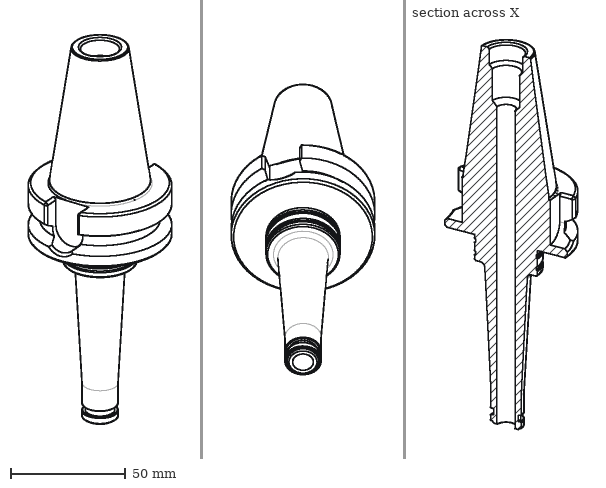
import cadquery as cq

total_height = 181.4
gauge_height = 116.1
flange_top = 115.0
flange_bottom = 88.9
shoulder_bottom = 76.4
nose_taper_bottom = 17.5

gauge_diameter = 44.5
taper_ratio = 7 / 24
shank_top_diameter = gauge_diameter - taper_ratio * (total_height - gauge_height)
shank_top_chamfer = 0.5
neck_diameter = 43.9
neck_fillet = 0.82

flange_diameter = 63.0
flange_chamfer = 1.0
grip_diameter = 53.0
grip_upper_edge = 104.7
grip_upper_floor = 102.0
grip_lower_floor = 97.5
grip_lower_edge = 94.7

slot_width = 16.0
slot_floor_distance = 22.7
slot_bottom = 93.5
slot_chamfer = 1.3
selection_margin = 0.2

shoulder_diameter = 32.5
shoulder_chamfer = 0.7
ring_groove_centers = (80.2, 86.2)
ring_groove_width = 2.2
ring_groove_depth = 0.5

nose_top_diameter = 22.1
nose_fillet = 2.0
nose_end_diameter = 16.0

clip_diameter = 13.0
clip_top = 7.0
clip_bottom = 4.2
rim_chamfer = 0.4
tip_diameter = 13.8
tip_height = 0.9
tip_chamfer = 0.7

thread_relief_diameter = 17.0
thread_relief_depth = 8.3
mouth_chamfer = 0.9
thread_diameter = 13.8
thread_depth = 25.4
through_diameter = 9


def ring_groove_points(center):
    """Section of a ring groove with 45 degree flanks, listed upward."""
    outer = shoulder_diameter / 2
    inner = outer - ring_groove_depth
    half = ring_groove_width / 2
    floor_half = half - ring_groove_depth
    return [
        (outer, center - half),
        (inner, center - floor_half),
        (inner, center + floor_half),
        (outer, center + half),
    ]


def turned_body():
    """Solid of revolution, drawn as a half section from the tip upward."""
    tip = tip_diameter / 2
    nose_end = nose_end_diameter / 2
    clip = clip_diameter / 2
    nose_top = nose_top_diameter / 2
    shoulder = shoulder_diameter / 2
    flange = flange_diameter / 2
    neck = neck_diameter / 2
    shank_top = shank_top_diameter / 2
    fillet_height = shoulder_bottom - nose_fillet

    section = (
        cq.Workplane("XZ")
        .lineTo(tip - tip_chamfer, 0)
        .lineTo(tip, tip_chamfer)
        .lineTo(tip, tip_height)
        .lineTo(nose_end - rim_chamfer, tip_height)
        .lineTo(nose_end, tip_height + rim_chamfer)
        .lineTo(nose_end, clip_bottom - rim_chamfer)
        .lineTo(nose_end - rim_chamfer, clip_bottom)
        .lineTo(clip, clip_bottom)
        .lineTo(clip, clip_top)
        .lineTo(nose_end - rim_chamfer, clip_top)
        .lineTo(nose_end, clip_top + rim_chamfer)
        .lineTo(nose_end, nose_taper_bottom)
        .lineTo(nose_top, fillet_height)
        .radiusArc((nose_top + nose_fillet, shoulder_bottom), nose_fillet)
        .lineTo(shoulder - shoulder_chamfer, shoulder_bottom)
        .lineTo(shoulder, shoulder_bottom + shoulder_chamfer)
    )
    for center in ring_groove_centers:
        for point in ring_groove_points(center):
            section = section.lineTo(*point)
    section = (
        section.lineTo(shoulder, flange_bottom)
        .lineTo(flange - flange_chamfer, flange_bottom)
        .lineTo(flange, flange_bottom + flange_chamfer)
        .lineTo(flange, flange_top - flange_chamfer)
        .lineTo(flange - flange_chamfer, flange_top)
        .lineTo(neck + neck_fillet, flange_top)
        .radiusArc((neck, flange_top + neck_fillet), neck_fillet)
        .lineTo(gauge_diameter / 2, gauge_height)
        .lineTo(shank_top, total_height - shank_top_chamfer)
        .lineTo(shank_top - shank_top_chamfer, total_height)
        .lineTo(0, total_height)
        .close()
    )
    return section.revolve(360, (0, 0, 0), (0, 1, 0))


def axial_bore():
    """Chamfered relief, threaded length, drill cone and through hole."""
    relief = thread_relief_diameter / 2
    thread = thread_diameter / 2
    through = through_diameter / 2
    relief_bottom = total_height - thread_relief_depth
    thread_bottom = total_height - thread_depth
    section = [
        (0, 0),
        (through, 0),
        (through, thread_bottom - (thread - through)),
        (thread, thread_bottom),
        (thread, relief_bottom - (relief - thread)),
        (relief, relief_bottom),
        (relief, total_height - mouth_chamfer),
        (relief + mouth_chamfer, total_height),
        (0, total_height),
    ]
    return cq.Workplane("XZ").polyline(section).close().revolve(360, (0, 0, 0), (0, 1, 0))


def drive_slot():
    """Round-bottomed slot on the -Y side, open toward the shank."""
    half = slot_width / 2
    arc_center = slot_bottom + half
    return (
        cq.Workplane("XZ", origin=(0, -slot_floor_distance, 0))
        .moveTo(-half, flange_top)
        .lineTo(-half, arc_center)
        .threePointArc((0, slot_bottom), (half, arc_center))
        .lineTo(half, flange_top)
        .close()
        .extrude(flange_diameter)
    )


def slot_rim(side):
    """Selector for the rim edges of the drive slot on one Y side, +1 or -1."""
    reach = slot_width / 2 + selection_margin
    floor_clearance = slot_floor_distance + selection_margin
    return cq.selectors.BoxSelector(
        (-reach, side * floor_clearance, slot_bottom - selection_margin),
        (reach, side * flange_diameter, flange_top + selection_margin),
    )


def grip_groove():
    """Ring with slanted flanks that the flange loses to the gripper groove."""
    flange = flange_diameter / 2
    grip = grip_diameter / 2
    section = [
        (flange, grip_lower_edge),
        (grip, grip_lower_floor),
        (grip, grip_upper_floor),
        (flange, grip_upper_edge),
    ]
    return cq.Workplane("XZ").polyline(section).close().revolve(360, (0, 0, 0), (0, 1, 0))


slot = drive_slot()
result = turned_body().cut(axial_bore()).cut(slot).cut(slot.mirror("XZ"))
for side in (-1, 1):
    result = result.edges(slot_rim(side)).chamfer(slot_chamfer)
result = result.cut(grip_groove())